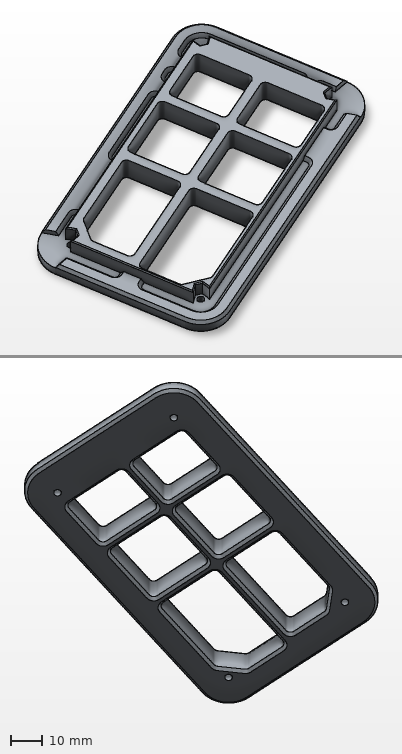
import cadquery as cq
import math

PLATE_X = 67.8
PLATE_Y = 109.95
PLATE_TOP = 5.5
PLATE_CORNER_R = 10.5
PLATE_CHAMFER = 1.0

RIM_WIDTH = 8.0
BLOCK_X = PLATE_X - 2 * RIM_WIDTH
BLOCK_Y = PLATE_Y - 2 * RIM_WIDTH
BLOCK_TOP = 10.0
BLOCK_CHAMFER = 0.4

HOLE_D = 2.4
HOLE_X = PLATE_X / 2 - PLATE_CORNER_R
HOLE_Y = PLATE_Y / 2 - PLATE_CORNER_R
CORNER_SIGNS = [(1, 1), (-1, 1), (-1, -1), (1, -1)]

NUT_ACROSS_FLATS = 4.0
NUT_RADIUS = NUT_ACROSS_FLATS / math.sqrt(3)
NUT_HEX_ANGLES = (135, 195, 255, 315)
NUT_MOUTH_SLOPE = 24.0
NUT_MOUTH_LENGTH = 2.0

RECESS_FLOOR = 4.2
RECESS_DEPTH = PLATE_TOP - RECESS_FLOOR
RECESS_INSET = 4.2
RECESS_SLOPE_WIDTH = 1.15
RECESS_END_R = 2.5
RECESS_TAPER = math.degrees(math.atan2(RECESS_SLOPE_WIDTH, RECESS_DEPTH))
RECESS_X = PLATE_X / 2 - RECESS_INSET
RECESS_Y = PLATE_Y / 2 - RECESS_INSET
RECESS_CORNER_R = PLATE_CORNER_R - RECESS_INSET

ARC_MID = 1 - math.sqrt(0.5)

TOP_LEFT_END_X = 12.3
TOP_LEFT_END_Y = 38.2
TOP_RIGHT_END_X = 14.6
TOP_RIGHT_END_Y = 34.2
BOTTOM_LEFT_END_X = -3.0
BOTTOM_LEFT_END_Y = -31.7
BOTTOM_RIGHT_END_X = 3.2
BOTTOM_RIGHT_END_Y = 21.4
LEFT_SPANS = [(26.9, 33.7), (-9.0, 22.5)]

CUT_END_ANGLE = 15.0
CUT_END_OFFSET = 2.85
CUT_WALL_LEAN = 0.5
CUT_REACH = 20.0
CUT_TAPER = math.degrees(math.atan2(CUT_WALL_LEAN, RECESS_DEPTH))

BAR_WIDTH = 3.2
WINDOW_R = 1.8
LEFT_X = -22.65
LEFT_WIDE_X = -23.7
RIGHT_X = 24.5
BAR_LEFT = -BAR_WIDTH / 2
BAR_RIGHT = BAR_WIDTH / 2
ROW1_TOP = 38.85
ROW1_BOTTOM = 19.9
ROW2_TOP = ROW1_BOTTOM - BAR_WIDTH
ROW2_BOTTOM = -6.45
ROW3_TOP = ROW2_BOTTOM - BAR_WIDTH
ROW3_LEFT_BOTTOM = -43.8
ROW3_RIGHT_BOTTOM = -46.2
LEFT_CORNER_CUT = 6.3
RIGHT_CORNER_CUT = 7.2


def box(x0, x1, y0, y1, z0, z1):
    """Axis-aligned box between two opposite corners."""
    return cq.Workplane("XY").box(x1 - x0, y1 - y0, z1 - z0, centered=False).translate((x0, y0, z0))


def base_plate():
    """Plate with rounded corners and a chamfered top rim."""
    plate = cq.Workplane("XY").rect(PLATE_X, PLATE_Y).extrude(PLATE_TOP)
    plate = plate.edges("|Z").fillet(PLATE_CORNER_R)
    return plate.faces(">Z").edges().chamfer(PLATE_CHAMFER)


def nut_outline(sign_x, sign_y):
    """Hexagon round a screw hole, one flat facing the block, flared open towards the plate corner."""
    slope = math.radians(NUT_MOUTH_SLOPE)
    mouth_run = NUT_MOUTH_LENGTH * math.cos(slope)
    mouth_rise = NUT_MOUTH_LENGTH * math.sin(slope)
    hexagon = [
        (NUT_RADIUS * math.cos(math.radians(a)), NUT_RADIUS * math.sin(math.radians(a)))
        for a in NUT_HEX_ANGLES
    ]
    upper_x, upper_y = hexagon[0]
    lower_x, lower_y = hexagon[-1]
    upper_mouth = (upper_x + mouth_rise, upper_y + mouth_run)
    lower_mouth = (lower_x + mouth_run, lower_y + mouth_rise)
    outside = (lower_mouth[0], upper_mouth[1])
    points = [upper_mouth, *hexagon, lower_mouth, outside]
    return [(sign_x * (HOLE_X + x), sign_y * (HOLE_Y + y)) for x, y in points]


def raised_block():
    """Block with its four corners opened up for nuts and a chamfer round its top."""
    block = box(-BLOCK_X / 2, BLOCK_X / 2, -BLOCK_Y / 2, BLOCK_Y / 2, 0, BLOCK_TOP)
    for sign_x, sign_y in CORNER_SIGNS:
        notch = cq.Workplane("XY").polyline(nut_outline(sign_x, sign_y)).close().extrude(BLOCK_TOP)
        block = block.cut(notch)
    return block.faces(">Z").edges().chamfer(BLOCK_CHAMFER)


def recess_cutter(x0, x1, y0, y1, corner_r):
    """Pocket with sloped walls over a rectangle.

    (x1, y1) is the outer corner, rounded with corner_r; the two corners next to it get the end radius.
    """
    sign_x = math.copysign(1, x1 - x0)
    sign_y = math.copysign(1, y1 - y0)
    end_r = RECESS_END_R
    end_mid = end_r * ARC_MID
    corner_mid = corner_r * ARC_MID
    outline = (
        cq.Workplane("XY")
        .workplane(offset=PLATE_TOP)
        .moveTo(x0, y0)
        .lineTo(x1 - sign_x * end_r, y0)
        .threePointArc((x1 - sign_x * end_mid, y0 + sign_y * end_mid), (x1, y0 + sign_y * end_r))
        .lineTo(x1, y1 - sign_y * corner_r)
        .threePointArc((x1 - sign_x * corner_mid, y1 - sign_y * corner_mid), (x1 - sign_x * corner_r, y1))
        .lineTo(x0 + sign_x * end_r, y1)
        .threePointArc((x0 + sign_x * end_mid, y1 - sign_y * end_mid), (x0, y1 - sign_y * end_r))
        .close()
    )
    return outline.extrude(-RECESS_DEPTH, taper=RECESS_TAPER)


def cut_recesses(plate):
    """Four recesses wrapping round the corners and two along the left side."""
    corner_recesses = [
        (TOP_LEFT_END_X, -RECESS_X, TOP_LEFT_END_Y, RECESS_Y),
        (TOP_RIGHT_END_X, RECESS_X, TOP_RIGHT_END_Y, RECESS_Y),
        (BOTTOM_LEFT_END_X, -RECESS_X, BOTTOM_LEFT_END_Y, -RECESS_Y),
        (BOTTOM_RIGHT_END_X, RECESS_X, BOTTOM_RIGHT_END_Y, -RECESS_Y),
    ]
    for x0, x1, y0, y1 in corner_recesses:
        plate = plate.cut(recess_cutter(x0, x1, y0, y1, RECESS_CORNER_R))
    for y0, y1 in LEFT_SPANS:
        plate = plate.cut(recess_cutter(0, -RECESS_X, y0, y1, RECESS_END_R))
    return plate


def lowered_corner():
    """Cutter that lowers the +X +Y plate corner; its two end walls lean outwards."""
    slope = math.tan(math.radians(CUT_END_ANGLE))
    apex = -CUT_END_OFFSET / (1 - slope)
    rise = CUT_REACH * slope - CUT_END_OFFSET
    points = [(apex, apex), (CUT_REACH, rise), (CUT_REACH, CUT_REACH), (rise, CUT_REACH)]
    floor = cq.Workplane("XY").workplane(offset=RECESS_FLOOR).center(HOLE_X, HOLE_Y)
    outline = floor.polyline(points).close()
    return outline.extrude(RECESS_DEPTH, taper=-CUT_TAPER)


def window(x0, x1, y0, y1):
    """Cutter for one rectangular window, before its corners are rounded."""
    return box(x0, x1, y0, y1, 0, BLOCK_TOP)


def cut_windows(body):
    """Two columns of three windows; the lowest two lose one bottom corner to clear the screws."""
    lower_left = window(LEFT_X, BAR_LEFT, ROW3_LEFT_BOTTOM, ROW3_TOP)
    lower_right = window(BAR_RIGHT, RIGHT_X, ROW3_RIGHT_BOTTOM, ROW3_TOP)
    windows = [
        window(LEFT_X, BAR_LEFT, ROW1_BOTTOM, ROW1_TOP),
        window(BAR_RIGHT, RIGHT_X, ROW1_BOTTOM, ROW1_TOP),
        window(LEFT_WIDE_X, BAR_LEFT, ROW2_BOTTOM, ROW2_TOP),
        window(BAR_RIGHT, RIGHT_X, ROW2_BOTTOM, ROW2_TOP),
        lower_left.edges("|Z and <X and <Y").chamfer(LEFT_CORNER_CUT),
        lower_right.edges("|Z and >X and <Y").chamfer(RIGHT_CORNER_CUT),
    ]
    for cutter in windows:
        body = body.cut(cutter.edges("|Z").fillet(WINDOW_R))
    return body


def build():
    """Recessed plate and block joined, then pierced by the windows and the screw holes."""
    plate = cut_recesses(base_plate())
    corner_cut = lowered_corner()
    plate = plate.cut(corner_cut)
    plate = plate.cut(corner_cut.rotate((0, 0, 0), (0, 0, 1), 180))
    body = cut_windows(plate.union(raised_block()))
    body = body.faces("<Z").edges().chamfer(PLATE_CHAMFER)
    holes = [(sign_x * HOLE_X, sign_y * HOLE_Y) for sign_x, sign_y in CORNER_SIGNS]
    return body.cut(cq.Workplane("XY").pushPoints(holes).circle(HOLE_D / 2).extrude(BLOCK_TOP))


result = build()